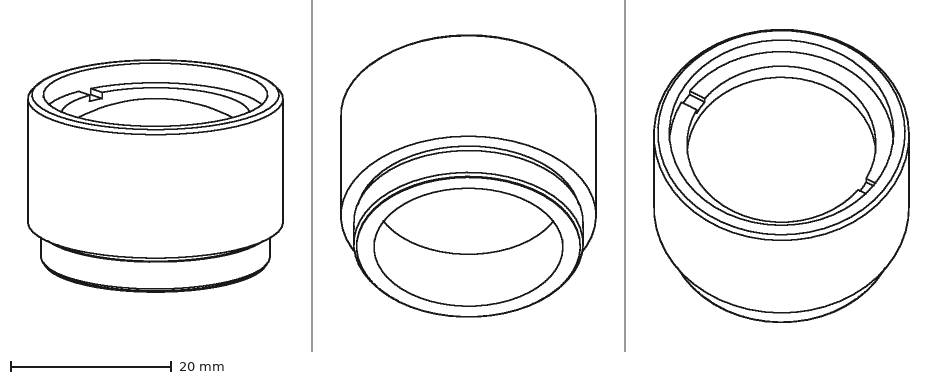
import cadquery as cq
import math

HEIGHT = 21.5
BODY_RADIUS = 15.88
COLLAR_RADIUS = 14.25
COLLAR_TOP = 4.0
NECK_RADIUS = 13.9
NECK_TOP = 5.0
EDGE_CHAMFER = 0.5
BORE_RADIUS = 13.95
APERTURE_RADIUS = 11.75
SEAT_Z = 8.25

RING_DEPTH = 2.55
RING_HEIGHT = 2.48
RING_TOP = HEIGHT - RING_DEPTH
RING_BOTTOM = RING_TOP - RING_HEIGHT
SLOT_WIDTH = 1.97
SLOT_DEPTH = 0.8

DOME_RISE = 3.65
DOME_RADIUS = (APERTURE_RADIUS**2 + DOME_RISE**2) / (2 * DOME_RISE)
LENS_APEX = RING_BOTTOM + DOME_RISE
DOME_CENTER_Z = LENS_APEX - DOME_RADIUS


def dome_height(radius):
    """Z of the spherical lens face at a distance from the axis."""
    return DOME_CENTER_Z + math.sqrt(DOME_RADIUS**2 - radius**2)


def make_housing():
    """Stepped tube with a wide upper bore ending in a lens seat."""
    collar = cq.Workplane("XY").circle(COLLAR_RADIUS).extrude(COLLAR_TOP)
    collar = collar.faces("<Z").chamfer(EDGE_CHAMFER)
    neck = cq.Workplane("XY").circle(NECK_RADIUS).extrude(NECK_TOP)
    body = cq.Workplane("XY").workplane(offset=NECK_TOP).circle(BODY_RADIUS).extrude(HEIGHT - NECK_TOP)
    body = body.faces(">Z").chamfer(EDGE_CHAMFER)
    aperture = cq.Workplane("XY").circle(APERTURE_RADIUS).extrude(HEIGHT)
    bore = cq.Workplane("XY").workplane(offset=SEAT_Z).circle(BORE_RADIUS).extrude(HEIGHT - SEAT_Z)
    return collar.union(neck).union(body).cut(aperture).cut(bore)


def make_ring():
    """Retaining ring with a spanner slot across its top face."""
    ring = (
        cq.Workplane("XY").workplane(offset=RING_BOTTOM)
        .circle(BORE_RADIUS).circle(APERTURE_RADIUS).extrude(RING_HEIGHT)
    )
    slot = (
        cq.Workplane("XY").workplane(offset=RING_TOP - SLOT_DEPTH)
        .rect(2 * BORE_RADIUS, SLOT_WIDTH).extrude(SLOT_DEPTH)
    )
    return ring.cut(slot)


def make_lens():
    """Lens with a flat base on the seat and a spherical top."""
    middle_radius = BORE_RADIUS / 2
    return (
        cq.Workplane("XZ")
        .moveTo(0, SEAT_Z)
        .lineTo(BORE_RADIUS, SEAT_Z)
        .lineTo(BORE_RADIUS, dome_height(BORE_RADIUS))
        .threePointArc((middle_radius, dome_height(middle_radius)), (0, LENS_APEX))
        .close()
        .revolve(360, (0, 0, 0), (0, 1, 0))
    )


housing = make_housing()
retaining_ring = make_ring()
lens = make_lens()

result = cq.Compound.makeCompound([housing.val(), retaining_ring.val(), lens.val()])